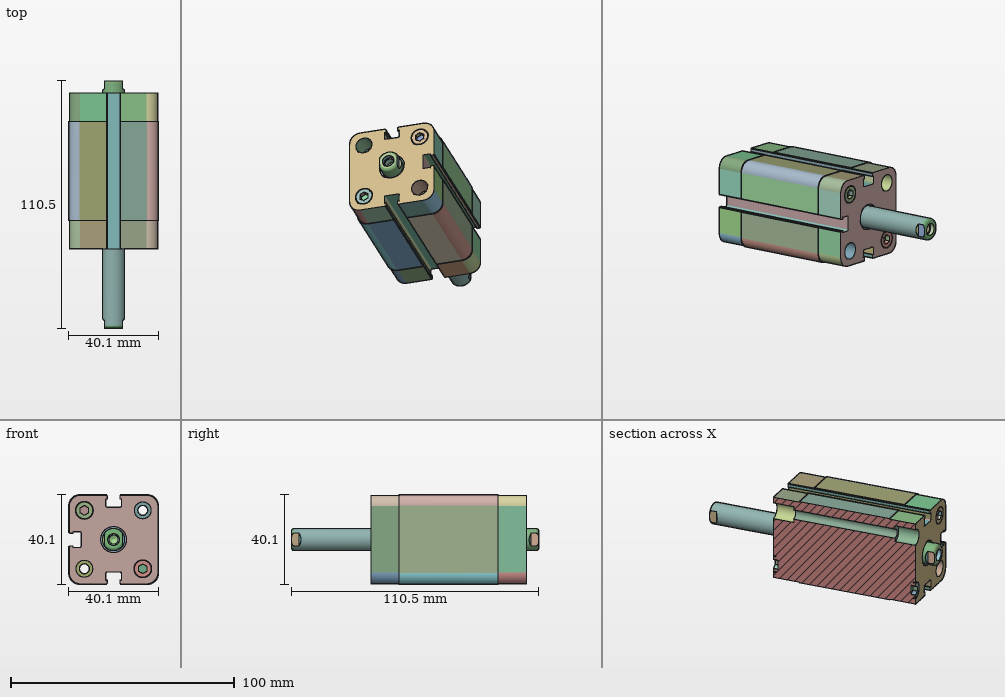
import cadquery as cq
import math


total_length = 110.5
front_rod_length = 35.5
cap_length = 12.7
body_length = 69.6
tube_length = body_length - 2 * cap_length
body_front = front_rod_length - total_length / 2
body_rear = body_front + body_length
rod_front = -total_length / 2
rod_rear = total_length / 2

tube_width = 40.1
cap_width = 39.6
corner_radius = 5.0

slot_mouth_width = 5.5
slot_inner_width = 7.0
slot_depth = 5.5
slot_lip = 2.0
slot_floor_radius = 0.5
slot_mouth_chamfer = 0.3

rod_diameter = 10.0
rod_edge_radius = 1.2
rod_flat_width = 8.2
rod_flat_length = 3.4
rod_recess_diameter = 11.6
rod_recess_depth = 1.1

thread_mouth_diameter = 5.3
thread_mouth_depth = 2.0
thread_diameter = 4.1
thread_depth = 10.0
drill_tip_height = 1.2

fastener_offset = 13.0
mounting_points = [(fastener_offset, fastener_offset), (-fastener_offset, -fastener_offset)]
screw_points = [(-fastener_offset, fastener_offset), (fastener_offset, -fastener_offset)]
counterbore_diameter = 7.5
counterbore_depth = 10.0
mounting_hole_diameter = 4.3
screw_head_diameter = 7.5
screw_recess_diameter = 8.0
screw_gap_depth = 1.1
hex_across_flats = 3.8
hex_depth = 2.2


def section_plane(y):
    """Sketch plane across the axis at y; its normal points to the rear (+Y)."""
    return cq.Workplane(cq.Plane(origin=(0, y, 0), xDir=(-1, 0, 0), normal=(0, 1, 0)))


def at_points(points):
    """Turn X, Z positions into section-plane coordinates, whose first axis is -X."""
    return [(-x, z) for x, z in points]


def cylinder(diameter, y_start, length, points=((0, 0),)):
    return section_plane(y_start).pushPoints(at_points(points)).circle(diameter / 2).extrude(length)


def rounded_block(width, y_start, length):
    return section_plane(y_start).rect(width, width).extrude(length).edges("|Y").fillet(corner_radius)


def slot_cutter(rotation):
    """T-slot along the whole body, on the top side before it is turned about Y."""
    tube_face = tube_width / 2
    floor = tube_face - slot_depth
    lip = tube_face - slot_lip
    chamber = (
        section_plane(body_front)
        .center(0, (floor + lip) / 2)
        .rect(slot_inner_width, lip - floor)
        .extrude(body_length)
        .edges("|Y and <Z")
        .fillet(slot_floor_radius)
    )
    half_mouth = slot_mouth_width / 2
    cap_face = cap_width / 2
    half_outer = half_mouth + slot_mouth_chamfer
    mouth = (
        section_plane(body_front)
        .polyline([
            (-half_mouth, floor + slot_floor_radius),
            (-half_mouth, cap_face - slot_mouth_chamfer),
            (-half_outer, cap_face),
            (-half_outer, tube_face),
            (half_outer, tube_face),
            (half_outer, cap_face),
            (half_mouth, cap_face - slot_mouth_chamfer),
            (half_mouth, floor + slot_floor_radius),
        ])
        .close()
        .extrude(body_length)
    )
    return chamber.union(mouth).rotate((0, 0, 0), (0, 1, 0), rotation)


def rod_flats():
    """Wrench flats on the ±X sides of the front rod end, running out at 45 degrees."""
    half_flat = rod_flat_width / 2
    radius = rod_diameter / 2
    flat_end = rod_front + rod_flat_length
    flat = (
        cq.Workplane("XY")
        .polyline([
            (half_flat, rod_front),
            (half_flat, flat_end),
            (radius, flat_end + radius - half_flat),
            (radius, rod_front),
        ])
        .close()
        .extrude(radius, both=True)
    )
    return flat.union(flat.mirror("YZ"))


def thread_hole():
    """Blind hole in the front rod end with a stepped mouth and a conical bottom."""
    mouth_radius = thread_mouth_diameter / 2
    hole_radius = thread_diameter / 2
    bottom = rod_front + thread_depth
    return (
        cq.Workplane("XY")
        .polyline([
            (0, rod_front),
            (mouth_radius, rod_front),
            (mouth_radius, rod_front + thread_mouth_depth),
            (hole_radius, rod_front + thread_mouth_depth),
            (hole_radius, bottom),
            (0, bottom + drill_tip_height),
        ])
        .close()
        .revolve(360, (0, 0, 0), (0, 1, 0))
    )


def cap_recesses():
    """Counterbores and screw details that open on the front cap face."""
    counterbores = cylinder(counterbore_diameter, body_front, counterbore_depth, mounting_points)
    screw_gaps = cylinder(screw_recess_diameter, body_front, screw_gap_depth, screw_points).cut(
        cylinder(screw_head_diameter, body_front, screw_gap_depth, screw_points)
    )
    hex_across_corners = hex_across_flats / math.cos(math.pi / 6)
    hex_sockets = (
        section_plane(body_front)
        .transformed(rotate=(0, 0, 90))
        .pushPoints([(z, x) for x, z in screw_points])
        .polygon(6, hex_across_corners)
        .extrude(hex_depth)
    )
    rod_recess = cylinder(rod_recess_diameter, body_front, rod_recess_depth).cut(
        cylinder(rod_diameter, body_front, rod_recess_depth)
    )
    return [counterbores, screw_gaps, hex_sockets, rod_recess]


def cut_both_ends(solid, cutter, front, rear):
    """Cut a front-end feature and its mirror image at the rear end."""
    rear_cutter = cutter.mirror("XZ").translate((0, front + rear, 0))
    return solid.cut(cutter).cut(rear_cutter)


body = rounded_block(cap_width, body_front, body_length)
body = body.union(rounded_block(tube_width, body_front + cap_length, tube_length))

for rotation in (0, 180, -90):
    body = body.cut(slot_cutter(rotation))

body = body.cut(cylinder(mounting_hole_diameter, body_front, body_length, mounting_points))

rod = cylinder(rod_diameter, rod_front, total_length).edges("%CIRCLE").fillet(rod_edge_radius)
for rod_cutter in (rod_flats(), thread_hole()):
    rod = cut_both_ends(rod, rod_cutter, rod_front, rod_rear)

result = body.union(rod)
for recess in cap_recesses():
    result = cut_both_ends(result, recess, body_front, body_rear)